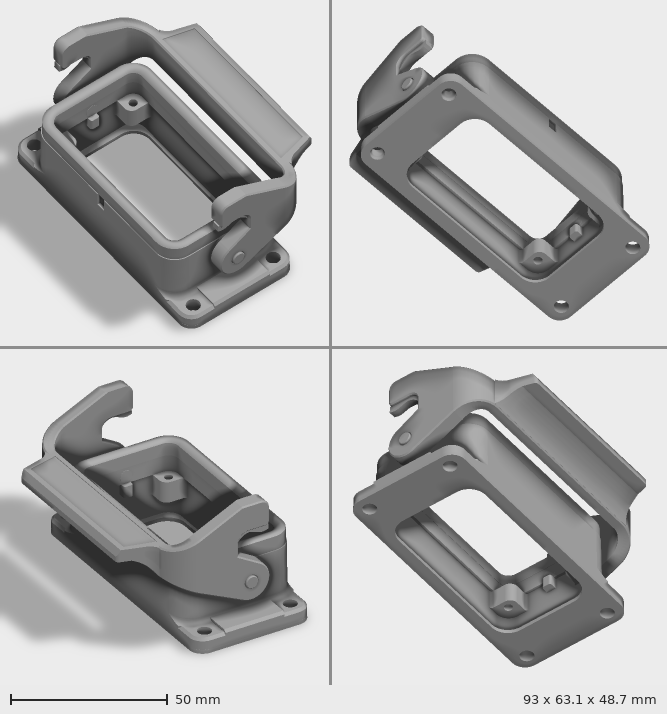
import cadquery as cq
import math

BASE_LENGTH = 93.0
BASE_WIDTH = 43.4
BASE_CORNER = 5.0
FOOT_HEIGHT = 1.4
FOOT_FLARE = 0.1
BASE_TOP = 5.5
BASE_CHAMFER = 0.9
PAD_TOP = 6.4
PAD_WIDTH = 22.1
MOUNT_HOLE = 4.8
MOUNT_X = 41.7
MOUNT_Y = 16.1

WALL_LENGTH = 73.5
WALL_CORNER = 7.8
WALL_DRAFT = 1.0
WALL_FLARE = 1.9
RIM_BOTTOM = 23.25
RIM_CREST = 29.0
RIM_LENGTH = 72.2
RIM_WIDTH = 42.2
RIM_CORNER = 7.4
RIM_OUTER_EDGE = 28.4
RIM_INNER_EDGE = 27.9
RIM_THICKNESS = 3.8

MOUTH_STEP = 0.1
UNDERCUT = 1.1
LEDGE = 17.4
FLOOR = 1.4
OPENING_LENGTH = 62.1
OPENING_CORNER = 6.5

BOSS_BOTTOM = 9.9
BOSS_X = 25.7
BOSS_Y = 10.0
BOSS_CORNER = 2.8
BOSS_ROOT_ROUND = 0.9
SCREW_HOLE = 3.0
SCREW_X = 28.6
SCREW_Y = 13.6

KEY_WIDTH = 3.4
KEY_REACH = 1.8
KEY_ROUND = 0.8
KEY_BOTTOM = 13.2
NOTCH_WIDTH = 3.35
NOTCH_HEIGHT = 5.0
NOTCH_DEPTH = 0.7

PIVOT_Z = 20.0
PIN_DIAMETER = 4.5
PIN_TIP = 4.0
PIN_END_X = 44.8
PIN_RECESS = 5.1
PIN_RECESS_DEPTH = 0.4
HUB_DIAMETER = 7.0
HUB_FACE_X = 38.9
HUB_CHAMFER = 0.4

ARM_OUTER_X = 44.2
ARM_THICKNESS = 5.0
ARM_END_RADIUS = 7.0
ARM_SLOPE = 25.0
THROAT_SLOPE = 30.0
LEVER_CHAMFER = 0.5
LEVER_TOP = 48.7
ARM_CREST_Y = 3.4
JAW_END_Y = -6.8
JAW_BOTTOM = 39.1
JAW_TOP_ROUND = 3.1
JAW_BOTTOM_ROUND = 1.3
THROAT_Y = 4.8
THROAT_ROUND = 3.7

BEND_Y = 19.2
BEND_INNER_RADIUS = 6.1
BAR_OUTER_Y = 28.8
BEND_STEPS = 6

TAB_WIDTH = 2.6
TAB_CENTRE_X = 41.7
TAB_TOP = 39.5
TAB_ROOT = 34.6
TAB_CURVE = [(3.3, 36.55), (0.2, 37.9), (-2.0, 37.3), (-3.9, 36.6), (-5.95, 36.6)]
TAB_TIP = (-7.2, 37.0)
TAB_SHOULDER_Y = -7.0

HANDLE_TIP_Y = 41.4
HANDLE_TIP_X = 29.3
HANDLE_TIP_ROUND = 1.4
HANDLE_SIDE_X = 31.8
HANDLE_SIDE_Y = 32.8
HANDLE_FLARE_X = 32.8
HANDLE_FLARE_Y = 30.5
HANDLE_ROOT_X = 34.9
HANDLE_OVERLAP = 0.9
HANDLE_BEVEL_Y = 40.1
HANDLE_BEVEL_Z = 34.4
HANDLE_BOTTOM = 32.5
HANDLE_HOLLOW_END_Y = 36.6
HANDLE_HOLLOW_MIDDLE = (32.0, 29.9)
PANEL_TIP_X = 28.4
PANEL_TIP_Y = 38.2
PANEL_ROOT_X = 31.1
PANEL_ROOT_Y = 27.3
PANEL_DEPTH = 0.3

PLATE_LENGTH = BASE_LENGTH - 2 * FOOT_FLARE
PLATE_WIDTH = BASE_WIDTH - 2 * FOOT_FLARE
CAVITY_LENGTH = RIM_LENGTH - 2 * RIM_THICKNESS
CAVITY_WIDTH = RIM_WIDTH - 2 * RIM_THICKNESS
CAVITY_CORNER = RIM_CORNER - RIM_THICKNESS
UNDERCUT_X = CAVITY_LENGTH / 2 + UNDERCUT
UNDERCUT_Y = CAVITY_WIDTH / 2 + UNDERCUT
RISE = math.tan(math.radians(ARM_SLOPE))
BEND_CENTRE_X = ARM_OUTER_X - ARM_THICKNESS - BEND_INNER_RADIUS
BEND_OUTER_X_RADIUS = ARM_OUTER_X - BEND_CENTRE_X
BEND_OUTER_Y_RADIUS = BAR_OUTER_Y - BEND_Y


def upper_edge(y):
    """Height of the sloping upper edge of the lever."""
    return LEVER_TOP - (y - ARM_CREST_Y) * RISE


def lower_edge(y):
    """Height of the sloping lower edge, tangent to the pivot end of the arm."""
    return PIVOT_Z + y * RISE - ARM_END_RADIUS / math.cos(math.radians(ARM_SLOPE))


BAR_TOP = upper_edge(BAR_OUTER_Y)
BAR_BOTTOM = lower_edge(BAR_OUTER_Y)


def rounded_block(length, width, corner, bottom, top):
    """Upright block with rounded vertical edges, centred on the Z axis."""
    block = cq.Workplane("XY", origin=(0, 0, bottom)).rect(length, width).extrude(top - bottom)
    return block.edges("|Z").fillet(corner)


def end_cylinder(side, diameter, inner_x, outer_x):
    """Cylinder on the pivot axis at one end of the part."""
    plane = cq.Workplane("YZ", origin=(side * inner_x, 0, PIVOT_Z))
    return plane.circle(diameter / 2).extrude(side * (outer_x - inner_x))


def make_base():
    """Mounting plate with a flared foot, raised end pads and four holes."""
    plate = rounded_block(PLATE_LENGTH, PLATE_WIDTH, BASE_CORNER, 0, BASE_TOP)
    plate = plate.faces(">Z").edges().chamfer(BASE_CHAMFER)

    foot_draft = math.degrees(math.atan(FOOT_FLARE / FOOT_HEIGHT))
    foot = cq.Workplane("XY").sketch().rect(BASE_LENGTH, BASE_WIDTH).vertices().fillet(BASE_CORNER)
    foot = foot.finalize().extrude(FOOT_HEIGHT, taper=foot_draft)

    pads = cq.Workplane("XY").box(PLATE_LENGTH, PAD_WIDTH, PAD_TOP, centered=(True, True, False))
    pads = pads.edges(">Z and |Y").chamfer(BASE_CHAMFER)

    holes = cq.Workplane("XY").rect(2 * MOUNT_X, 2 * MOUNT_Y, forConstruction=True).vertices()
    return plate.union(foot).union(pads).cut(holes.circle(MOUNT_HOLE / 2).extrude(BASE_TOP))


def make_wall():
    """Drafted wall, flush with the long sides of the base and flared at its ends."""
    wall = cq.Workplane("XY", origin=(0, 0, BASE_TOP)).sketch().rect(WALL_LENGTH, PLATE_WIDTH)
    wall = wall.vertices().fillet(WALL_CORNER).finalize()
    wall = wall.extrude(RIM_BOTTOM - BASE_TOP, taper=WALL_DRAFT)
    root = rounded_block(WALL_LENGTH, PLATE_WIDTH, WALL_CORNER, 0, BASE_TOP)
    return wall.union(root).union(make_flare(wall))


def make_flare(wall):
    """Fillet around both ends of the wall, trimmed to the outline of the base."""
    skirt = cq.Workplane("XY").box(BASE_LENGTH, 2 * BASE_WIDTH, BASE_TOP, centered=(True, True, False))
    margin = 0.1
    wall_foot = cq.selectors.BoxSelector(
        (-WALL_LENGTH / 2 - margin, -PLATE_WIDTH / 2 - margin, BASE_TOP - margin),
        (WALL_LENGTH / 2 + margin, PLATE_WIDTH / 2 + margin, BASE_TOP + margin),
    )
    flare = skirt.union(wall).edges(wall_foot).fillet(WALL_FLARE)

    reach = rounded_block(
        WALL_LENGTH + 2 * WALL_FLARE, PLATE_WIDTH + 2 * WALL_FLARE, WALL_CORNER + WALL_FLARE, 0, RIM_BOTTOM
    )
    outline = rounded_block(PLATE_LENGTH, PLATE_WIDTH, BASE_CORNER, 0, RIM_BOTTOM)
    straight_sides = cq.Workplane("XY").box(WALL_LENGTH - 2 * WALL_CORNER, 2 * BASE_WIDTH, 2 * RIM_BOTTOM)
    return flare.intersect(reach).intersect(outline).cut(straight_sides)


def make_rim():
    """Rim with a crowned top, swept once around the mouth."""
    half_length = RIM_LENGTH / 2
    half_width = RIM_WIDTH / 2
    corner_x = half_length - RIM_CORNER
    corner_y = half_width - RIM_CORNER
    path = cq.Workplane("XY", origin=(0, 0, RIM_BOTTOM)).moveTo(0, -half_width)
    path = path.lineTo(corner_x, -half_width).tangentArcPoint((half_length, -corner_y), relative=False)
    path = path.lineTo(half_length, corner_y).tangentArcPoint((corner_x, half_width), relative=False)
    path = path.lineTo(-corner_x, half_width).tangentArcPoint((-half_length, corner_y), relative=False)
    path = path.lineTo(-half_length, -corner_y).tangentArcPoint((-corner_x, -half_width), relative=False)
    path = path.close()

    section = cq.Workplane("YZ").moveTo(-half_width, RIM_BOTTOM).lineTo(-half_width, RIM_OUTER_EDGE)
    section = section.threePointArc(
        (-half_width + RIM_THICKNESS / 2, RIM_CREST), (-half_width + RIM_THICKNESS, RIM_INNER_EDGE)
    )
    section = section.lineTo(-half_width + RIM_THICKNESS, RIM_BOTTOM).close()
    return section.sweep(path)


def make_hubs():
    """Round hubs on the end walls that carry the pivot pins."""
    hubs = cq.Workplane("XY")
    for side in (-1, 1):
        hub = end_cylinder(side, HUB_DIAMETER, CAVITY_LENGTH / 2, HUB_FACE_X)
        outer_face = ">X" if side > 0 else "<X"
        hubs = hubs.union(hub.faces(outer_face).edges().chamfer(HUB_CHAMFER))
    return hubs


def make_cavity():
    """Space inside the housing, leaving the corner bosses and the key ribs standing."""
    upper = rounded_block(
        CAVITY_LENGTH + 2 * MOUTH_STEP,
        CAVITY_WIDTH + 2 * MOUTH_STEP,
        CAVITY_CORNER + MOUTH_STEP,
        LEDGE,
        RIM_BOTTOM,
    )
    lower = rounded_block(2 * UNDERCUT_X, 2 * UNDERCUT_Y, CAVITY_CORNER + UNDERCUT, FLOOR, LEDGE)
    opening = rounded_block(OPENING_LENGTH, CAVITY_WIDTH, OPENING_CORNER, 0, FLOOR)

    boss_length = UNDERCUT_X - BOSS_X
    boss_width = UNDERCUT_Y - BOSS_Y
    boss_middle_z = (LEDGE + BOSS_BOTTOM) / 2
    key_length = KEY_REACH + UNDERCUT
    for x_side in (-1, 1):
        inner_x = "<X" if x_side > 0 else ">X"
        for y_side in (-1, 1):
            inner_y = "<Y" if y_side > 0 else ">Y"
            centre = (x_side * (BOSS_X + boss_length / 2), y_side * (BOSS_Y + boss_width / 2), BOSS_BOTTOM)
            boss = cq.Workplane("XY", origin=centre).rect(boss_length, boss_width)
            boss = boss.extrude(LEDGE - BOSS_BOTTOM)
            boss = boss.edges("|Z").edges(inner_x).edges(inner_y).fillet(BOSS_CORNER)
            lower = lower.cut(boss)
            for root in ((BOSS_X, UNDERCUT_Y), (UNDERCUT_X, BOSS_Y)):
                root_point = (x_side * root[0], y_side * root[1], boss_middle_z)
                root_edge = cq.selectors.NearestToPointSelector(root_point)
                lower = lower.edges("|Z").edges(root_edge).fillet(BOSS_ROOT_ROUND)
        key = cq.Workplane("XY", origin=(x_side * (UNDERCUT_X - key_length / 2), 0, KEY_BOTTOM))
        key = key.rect(key_length, KEY_WIDTH).extrude(LEDGE - KEY_BOTTOM)
        key = key.edges("|Z").edges(inner_x).fillet(KEY_ROUND)
        lower = lower.cut(key)
    cavity = upper.union(lower).union(opening)

    screws = cq.Workplane("XY", origin=(0, 0, BOSS_BOTTOM))
    screws = screws.rect(2 * SCREW_X, 2 * SCREW_Y, forConstruction=True).vertices()
    return cavity.union(screws.circle(SCREW_HOLE / 2).extrude(LEDGE - BOSS_BOTTOM))


def make_notch():
    """Shallow notch in the front wall, hanging from the rim."""
    front_y = -RIM_WIDTH / 2
    notch = cq.Workplane("XY", origin=(0, front_y, RIM_BOTTOM - NOTCH_HEIGHT))
    return notch.rect(NOTCH_WIDTH, 2 * NOTCH_DEPTH).extrude(NOTCH_HEIGHT)


def make_housing():
    housing = make_base().union(make_wall()).union(make_hubs())
    housing = housing.cut(make_cavity()).cut(make_notch()).union(make_rim())
    for side in (-1, 1):
        housing = housing.cut(end_cylinder(side, PIN_DIAMETER, CAVITY_LENGTH / 2, HUB_FACE_X))
    return housing


def corner_arc(sketch, end, centre, radius, angle):
    """Add an arc about the centre that passes through the given angle to its end."""
    middle = (
        centre[0] + radius * math.cos(math.radians(angle)),
        centre[1] + radius * math.sin(math.radians(angle)),
    )
    return sketch.threePointArc(middle, end)


def make_arm():
    """Right-hand arm: round pivot end, open hook and a sloping shank."""
    slope = math.radians(ARM_SLOPE)
    throat = math.radians(THROAT_SLOPE)
    lower_tangent = (
        ARM_END_RADIUS * math.sin(slope),
        PIVOT_Z - ARM_END_RADIUS * math.cos(slope),
    )
    end_middle = (-ARM_END_RADIUS, PIVOT_Z)
    throat_tangent = (
        -ARM_END_RADIUS * math.sin(throat),
        PIVOT_Z + ARM_END_RADIUS * math.cos(throat),
    )
    throat_corner_z = throat_tangent[1] + (THROAT_Y - throat_tangent[0]) * math.tan(throat)

    arm = cq.Workplane("YZ", origin=(ARM_OUTER_X - ARM_THICKNESS, 0, 0))
    arm = arm.moveTo(BEND_Y, lower_edge(BEND_Y)).lineTo(*lower_tangent)
    arm = arm.threePointArc(end_middle, throat_tangent).lineTo(THROAT_Y, throat_corner_z)
    arm = arm.lineTo(THROAT_Y, JAW_BOTTOM - THROAT_ROUND)
    arm = corner_arc(
        arm,
        (THROAT_Y - THROAT_ROUND, JAW_BOTTOM),
        (THROAT_Y - THROAT_ROUND, JAW_BOTTOM - THROAT_ROUND),
        THROAT_ROUND,
        45,
    )
    arm = arm.lineTo(JAW_END_Y + JAW_BOTTOM_ROUND, JAW_BOTTOM)
    arm = corner_arc(
        arm,
        (JAW_END_Y, JAW_BOTTOM + JAW_BOTTOM_ROUND),
        (JAW_END_Y + JAW_BOTTOM_ROUND, JAW_BOTTOM + JAW_BOTTOM_ROUND),
        JAW_BOTTOM_ROUND,
        225,
    )
    arm = arm.lineTo(JAW_END_Y, LEVER_TOP - JAW_TOP_ROUND)
    arm = corner_arc(
        arm,
        (JAW_END_Y + JAW_TOP_ROUND, LEVER_TOP),
        (JAW_END_Y + JAW_TOP_ROUND, LEVER_TOP - JAW_TOP_ROUND),
        JAW_TOP_ROUND,
        135,
    )
    arm = arm.lineTo(ARM_CREST_Y, LEVER_TOP).lineTo(BEND_Y, upper_edge(BEND_Y)).close()
    arm = arm.extrude(ARM_THICKNESS)

    arm = arm.faces(">X").edges("not(>Y)").chamfer(LEVER_CHAMFER)
    slope_middle_y = (ARM_CREST_Y + BEND_Y) / 2
    inner_slope = cq.selectors.NearestToPointSelector(
        (ARM_OUTER_X - ARM_THICKNESS, slope_middle_y, upper_edge(slope_middle_y))
    )
    return arm.edges(inner_slope).chamfer(LEVER_CHAMFER)


def make_tab():
    """Latching tab that lines the jaw and throat of the right-hand hook."""
    tab = cq.Workplane("YZ", origin=(TAB_CENTRE_X - TAB_WIDTH / 2, 0, 0))
    tab = tab.moveTo(THROAT_Y, TAB_ROOT).spline(TAB_CURVE, includeCurrent=True)
    tab = tab.lineTo(*TAB_TIP).lineTo(TAB_SHOULDER_Y, TAB_TOP)
    return tab.lineTo(THROAT_Y, TAB_TOP).close().extrude(TAB_WIDTH)


def bend_section(angle):
    """Radial section of the right-hand bend, 0 degrees at the arm and 90 at the cross bar."""
    across = math.cos(math.radians(angle))
    along = math.sin(math.radians(angle))
    inner = cq.Vector(
        BEND_CENTRE_X + BEND_INNER_RADIUS * across, BEND_Y + BEND_INNER_RADIUS * along, 0
    )
    outer = cq.Vector(
        BEND_CENTRE_X + BEND_OUTER_X_RADIUS * across, BEND_Y + BEND_OUTER_Y_RADIUS * along, 0
    )
    inset = (outer - inner).normalized() * LEVER_CHAMFER
    drop = cq.Vector(0, 0, LEVER_CHAMFER / math.cos(math.radians(ARM_SLOPE)))
    top = cq.Vector(0, 0, upper_edge(outer.y))
    bottom = cq.Vector(0, 0, lower_edge(outer.y))
    corners = [
        inner + bottom,
        outer - inset + bottom,
        outer + bottom + drop,
        outer + top - drop,
        outer - inset + top,
        inner + inset + top,
        inner + top - drop,
    ]
    return cq.Wire.makePolygon(corners, close=True)


def make_bend():
    """Quarter turn whose height falls as it runs from the arm into the cross bar."""
    sections = [bend_section(90 * step / BEND_STEPS) for step in range(BEND_STEPS + 1)]
    return cq.Workplane(cq.Solid.makeLoft(sections))


def make_bar():
    """Straight cross bar with the same section as the ends of the bends."""
    section = cq.Face.makeFromWires(bend_section(90))
    return cq.Workplane(cq.Solid.extrudeLinear(section, cq.Vector(-2 * BEND_CENTRE_X, 0, 0)))


def make_handle():
    """Flared grip behind the cross bar, hollowed underneath."""
    root_y = BAR_OUTER_Y - HANDLE_OVERLAP
    hollow_z = BAR_BOTTOM + LEVER_CHAMFER
    profile = cq.Workplane("YZ", origin=(-HANDLE_ROOT_X, 0, 0)).moveTo(root_y, BAR_TOP)
    profile = profile.lineTo(HANDLE_BEVEL_Y, BAR_TOP).lineTo(HANDLE_TIP_Y, HANDLE_BEVEL_Z)
    profile = profile.lineTo(HANDLE_TIP_Y, HANDLE_BOTTOM).lineTo(HANDLE_HOLLOW_END_Y, HANDLE_BOTTOM)
    profile = profile.threePointArc(HANDLE_HOLLOW_MIDDLE, (BAR_OUTER_Y, hollow_z))
    profile = profile.lineTo(root_y, hollow_z).close().extrude(2 * HANDLE_ROOT_X)

    root_x = HANDLE_ROOT_X - 2 * HANDLE_OVERLAP
    plan = cq.Workplane("XY").moveTo(-HANDLE_TIP_X, HANDLE_TIP_Y).lineTo(HANDLE_TIP_X, HANDLE_TIP_Y)
    plan = plan.lineTo(HANDLE_SIDE_X, HANDLE_SIDE_Y)
    plan = plan.threePointArc((HANDLE_FLARE_X, HANDLE_FLARE_Y), (HANDLE_ROOT_X, BAR_OUTER_Y))
    plan = plan.lineTo(root_x, root_y).lineTo(-root_x, root_y).lineTo(-HANDLE_ROOT_X, BAR_OUTER_Y)
    plan = plan.threePointArc((-HANDLE_FLARE_X, HANDLE_FLARE_Y), (-HANDLE_SIDE_X, HANDLE_SIDE_Y)).close()
    plan = plan.extrude(LEVER_TOP).edges("|Z and >Y").fillet(HANDLE_TIP_ROUND)
    return profile.intersect(plan)


def make_panel():
    """Shallow label panel sunk into the top of the handle."""
    panel = cq.Workplane("XY", origin=(0, 0, BAR_TOP - PANEL_DEPTH))
    panel = panel.polyline([
        (-PANEL_TIP_X, PANEL_TIP_Y),
        (PANEL_TIP_X, PANEL_TIP_Y),
        (PANEL_ROOT_X, PANEL_ROOT_Y),
        (-PANEL_ROOT_X, PANEL_ROOT_Y),
    ])
    return panel.close().extrude(2 * PANEL_DEPTH)


def make_pin():
    """Right-hand pivot pin, from the inner end wall to just outside the arm."""
    pin = end_cylinder(1, PIN_DIAMETER, CAVITY_LENGTH / 2, PIN_END_X)
    return pin.faces(">X").edges().chamfer((PIN_DIAMETER - PIN_TIP) / 2)


def make_lever():
    recess = end_cylinder(1, PIN_RECESS, ARM_OUTER_X - PIN_RECESS_DEPTH, ARM_OUTER_X)
    arm = make_arm().cut(recess).union(make_tab()).union(make_bend()).union(make_pin())
    lever = make_bar().union(arm).union(arm.mirror("YZ"))
    return lever.union(make_handle()).cut(make_panel())


housing = make_housing()
lever = make_lever()

result = cq.Compound.makeCompound([housing.solids().val(), lever.solids().val()])